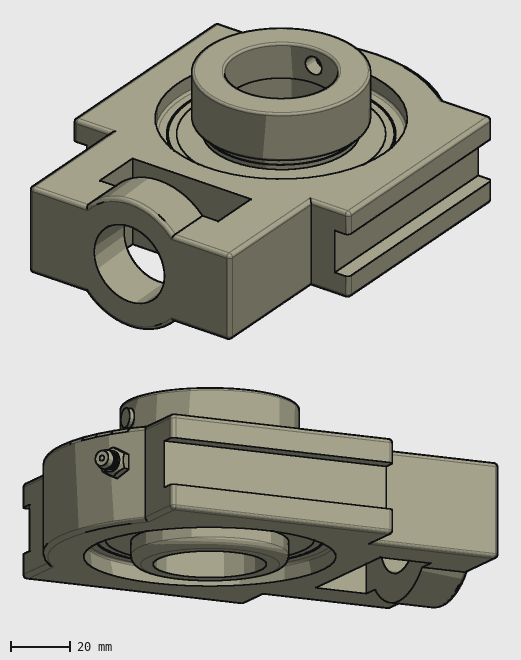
import cadquery as cq
import math


housing_width = 114
housing_height = 33.0
block_back_y = 42.4
block_front_y = -40.9
crown_radius = 56.1
edge_round = 1.5

slot_height = 16.1
slot_depth = 5.7

fork_width = 83.0
fork_front_y = -88.1
boss_diameter = 48.8
screw_hole_diameter = 29.0
window_width = 49.0
window_back_y = -51.9
window_front_y = -70.9

recess_diameter = 84.9
recess_round = 0.9

outer_ring_half = 10.5
outer_ring_face_radius = 38.6
outer_ring_chamfer = 0.51
outer_ring_bore = 70.5
sphere_radius = math.hypot(outer_ring_face_radius, outer_ring_half)

shaft_diameter = 38.1
inner_ring_diameter = 53.2
inner_ring_neck_diameter = 52.5
inner_ring_bottom_z = -19.1
inner_ring_top_z = 21.5
neck_start_z = 13.2
inner_ring_round = 3.2

seal_thickness = 2.2
seal_rise = 0.9

collar_diameter = 60.3
collar_bottom_z = 16.5
collar_top_z = 34.9
collar_round = 0.9

set_screw_diameter = 6.7
set_screw_z = 28.2
set_screw_inner_y = 24.8
set_screw_outer_y = 31.7

nipple_angle = 120
nipple_z = 4.5
hex_across_corners = 10.4
hex_chamfer_start = 58.5
hex_top = 60.2
hex_top_radius = 3.7
nipple_step_diameter = 6.0
nipple_step_top = 61.1
neck_radius = 2.6
neck_top = 62.0
head_radius = 3.4
head_widest = 63.1
tip_radius = 2.6
tip_end = 65.5
tip_ball_diameter = 2.5
tip_ball_rise = 0.5


def disc(diameter, bottom_z, top_z):
    return cq.Workplane("XY").workplane(offset=bottom_z).circle(diameter / 2).extrude(top_z - bottom_z)


def turned(points):
    """Solid of revolution about Z from (radius, z) points."""
    return cq.Workplane("XZ").polyline(points).close().revolve(360, (0, 0), (0, 1))


def box_between(width, back_y, front_y, height):
    return cq.Workplane("XY").box(width, back_y - front_y, height).translate((0, (back_y + front_y) / 2, 0))


def cylinder_along_y(diameter, start_y, end_y, z=0):
    return cq.Workplane("XZ", origin=(0, start_y, z)).circle(diameter / 2).extrude(start_y - end_y)


def make_seat():
    """Space for the bearing: a spherical middle and a rounded recess in each face."""
    seat = cq.Workplane("XY").sphere(sphere_radius)
    seat = seat.intersect(disc(recess_diameter, -outer_ring_half, outer_ring_half))
    recess = disc(recess_diameter, outer_ring_half, housing_height / 2)
    recess = recess.faces("<Z").edges().fillet(recess_round)
    return seat.union(recess).union(recess.mirror("XY"))


def make_housing():
    block = box_between(housing_width, block_back_y, block_front_y, housing_height)
    crown = disc(2 * crown_radius, -housing_height / 2, housing_height / 2)
    crown = crown.intersect(box_between(housing_width, crown_radius, 0, housing_height))
    fork = box_between(fork_width, 0, fork_front_y, housing_height)
    body = block.union(crown).union(fork)
    upright_edges = body.edges("|Z").edges("<X or >X or <Y").vals()
    rim_edges = body.faces("<Z or >Z").edges().vals()
    body = body.newObject(upright_edges + rim_edges + body.faces("<Y").edges().vals()).fillet(edge_round)

    for side in (-1, 1):
        slot = cq.Workplane("XY").box(2 * slot_depth, 2 * crown_radius, slot_height)
        body = body.cut(slot.translate((side * housing_width / 2, 0, 0)))

    boss = cylinder_along_y(boss_diameter, window_front_y, fork_front_y)
    body = body.union(boss.faces("<Y").edges().fillet(edge_round))
    body = body.cut(box_between(window_width, window_back_y, window_front_y, housing_height))
    body = body.cut(cylinder_along_y(screw_hole_diameter, window_front_y, fork_front_y))

    return body.cut(make_seat())


def make_outer_ring():
    ring = cq.Workplane("XY").sphere(sphere_radius)
    ring = ring.intersect(disc(recess_diameter, -outer_ring_half, outer_ring_half))
    ring = ring.faces("<Z or >Z").edges().chamfer(outer_ring_chamfer)
    return ring.cut(disc(outer_ring_bore, -outer_ring_half, outer_ring_half))


def make_inner_ring():
    ring = disc(inner_ring_diameter, inner_ring_bottom_z, neck_start_z)
    ring = ring.faces("<Z").edges().fillet(inner_ring_round)
    ring = ring.union(disc(inner_ring_neck_diameter, neck_start_z, inner_ring_top_z))
    return ring.cut(disc(shaft_diameter, inner_ring_bottom_z, inner_ring_top_z))


def make_seal():
    """Seal of the top side, whose top rises from the outer ring to the inner ring."""
    inner_radius = inner_ring_diameter / 2
    outer_radius = outer_ring_bore / 2
    bottom_z = outer_ring_half - seal_thickness
    return turned(
        [
            (inner_radius, bottom_z),
            (outer_radius, bottom_z),
            (outer_radius, outer_ring_half),
            (inner_radius, outer_ring_half + seal_rise),
        ]
    )


def make_collar():
    collar = disc(collar_diameter, collar_bottom_z, collar_top_z)
    collar = collar.cut(disc(shaft_diameter, collar_bottom_z, collar_top_z))
    outer_edges = collar.edges("%CIRCLE").edges(cq.selectors.RadiusNthSelector(-1)).vals()
    bore_edge = collar.faces(">Z").edges(cq.selectors.RadiusNthSelector(0)).vals()
    collar = collar.newObject(outer_edges + bore_edge).fillet(collar_round)
    collar = collar.cut(disc(inner_ring_neck_diameter, collar_bottom_z, inner_ring_top_z))
    return collar.cut(cylinder_along_y(set_screw_diameter, collar_diameter / 2, 0, set_screw_z))


def make_set_screw():
    return cylinder_along_y(set_screw_diameter, set_screw_outer_y, set_screw_inner_y, set_screw_z)


def make_nipple():
    hex_bottom = crown_radius - edge_round
    hexagon = cq.Workplane("XY").workplane(offset=hex_bottom).polygon(6, hex_across_corners)
    hexagon = hexagon.extrude(hex_top - hex_bottom)
    corner_radius = hex_across_corners / 2
    chamfered_blank = turned(
        [
            (0, hex_bottom),
            (corner_radius, hex_bottom),
            (corner_radius, hex_chamfer_start),
            (hex_top_radius, hex_top),
            (0, hex_top),
        ]
    )
    head = turned(
        [
            (0, hex_bottom),
            (nipple_step_diameter / 2, hex_bottom),
            (nipple_step_diameter / 2, nipple_step_top),
            (neck_radius, nipple_step_top),
            (neck_radius, neck_top),
            (head_radius, head_widest),
            (tip_radius, tip_end),
            (0, tip_end),
        ]
    )
    nipple = hexagon.intersect(chamfered_blank).union(head)
    ball = cq.Workplane("XY").sphere(tip_ball_diameter / 2)
    nipple = nipple.union(ball.translate((0, 0, tip_end + tip_ball_rise - tip_ball_diameter / 2)))

    nipple = nipple.rotate((0, 0, 0), (0, 1, 0), 90)
    nipple = nipple.rotate((0, 0, 0), (0, 0, 1), nipple_angle).translate((0, 0, nipple_z))
    return nipple.cut(disc(2 * crown_radius, -housing_height / 2, housing_height / 2))


housing = make_housing()
outer_ring = make_outer_ring()
inner_ring = make_inner_ring()
upper_seal = make_seal()
lower_seal = upper_seal.mirror("XY")
collar = make_collar()
set_screw = make_set_screw()
nipple = make_nipple()

bodies = [housing, outer_ring, inner_ring, upper_seal, lower_seal, collar, set_screw, nipple]
result = cq.Compound.makeCompound([body.solids().val() for body in bodies])